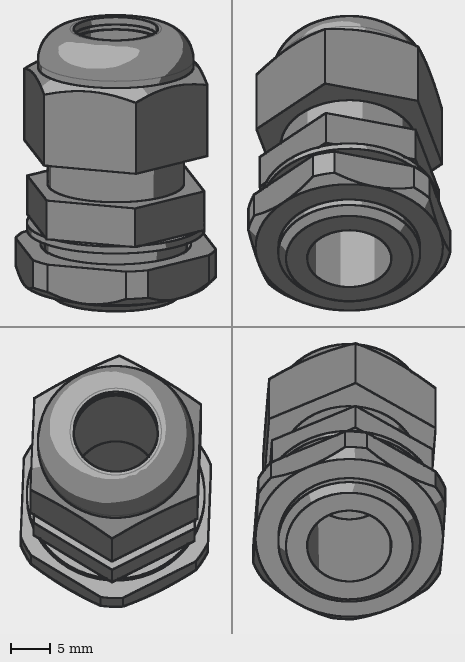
import cadquery as cq
import math

total_height = 35.37
thread_chamfer = 1.0
locknut_bottom = 1.95
locknut_top = 6.72
flange_bottom = 8.65
flange_top = 9.6
body_hex_top = 14.75
cap_bottom = 19.5
collar_bottom = 30.3

cap_flats = 21.4
body_flats = 20.65
locknut_flats = 24.0

bore_dia = 10.8
seal_dia = 13.75
neck_dia = 17.5
cap_bore_dia = 17.6
thread_dia = 18.2
collar_dia = 20.0
flange_dia = 22.8
locknut_corner_dia = 26.25
countersink_dia = 19.35

dome_radius = 4.15
cap_cone_angle = 30.0
lip_height = 1.0
seal_top = total_height - 1.65
relief_dia = 11.25


def cylinder(diameter, bottom, top):
    return cq.Workplane("XY").workplane(offset=bottom).circle(diameter / 2).extrude(top - bottom)


def hexagon(flats, bottom, top):
    """Hexagonal prism with two flats facing +X and -X."""
    corner_dia = flats / math.cos(math.radians(30))
    outline = cq.Workplane("XY").workplane(offset=bottom).polygon(6, corner_dia)
    return outline.extrude(top - bottom).rotate((0, 0, 0), (0, 0, 1), 30)


def revolve_profile(profile):
    """Turn a closed (radius, height) profile around the Z axis."""
    return profile.close().revolve(360, (0, 0, 0), (0, 1, 0))


def make_cap():
    collar_radius = collar_dia / 2
    corner_radius = cap_flats / math.sqrt(3)
    edge_radius = corner_radius + 0.35
    cone_drop = (edge_radius - collar_radius) * math.tan(math.radians(cap_cone_angle))
    envelope = revolve_profile(
        cq.Workplane("XZ")
        .moveTo(0, cap_bottom)
        .lineTo(edge_radius, cap_bottom)
        .lineTo(edge_radius, collar_bottom - cone_drop)
        .lineTo(collar_radius, collar_bottom)
        .lineTo(0, collar_bottom)
    )
    nut = hexagon(cap_flats, cap_bottom, collar_bottom).intersect(envelope)
    dome = cylinder(collar_dia, collar_bottom, total_height).faces(">Z").edges().fillet(dome_radius)
    return (
        nut.union(dome)
        .cut(cylinder(cap_bore_dia, cap_bottom, collar_bottom))
        .cut(cylinder(seal_dia, collar_bottom, seal_top))
        .cut(cylinder(relief_dia, seal_top, total_height - lip_height))
        .cut(cylinder(bore_dia, total_height - lip_height, total_height))
    )


def make_body():
    thread = cylinder(thread_dia, 0, flange_bottom).faces("<Z").edges().chamfer(thread_chamfer)
    flange = cylinder(flange_dia, flange_bottom, flange_top)
    neck = cylinder(neck_dia, body_hex_top, collar_bottom)
    return (
        thread.union(flange)
        .union(hexagon(body_flats, flange_top, body_hex_top))
        .union(neck)
        .cut(cylinder(bore_dia, 0, body_hex_top))
        .cut(cylinder(seal_dia, body_hex_top, collar_bottom))
    )


def make_seal():
    """Sleeve seated in the neck of the body and reaching up into the cap."""
    return cylinder(seal_dia, body_hex_top, seal_top).cut(cylinder(bore_dia, body_hex_top, seal_top))


def make_locknut():
    corner_radius = locknut_corner_dia / 2
    flat_radius = locknut_flats / 2
    chamfer_height = corner_radius - flat_radius
    envelope = cylinder(locknut_corner_dia, locknut_bottom, locknut_top)
    envelope = envelope.faces("<Z").edges().chamfer(chamfer_height)
    nut = hexagon(locknut_flats, locknut_bottom, locknut_top).intersect(envelope)
    countersink_depth = (countersink_dia - thread_dia) / 2
    countersink = revolve_profile(
        cq.Workplane("XZ")
        .moveTo(0, locknut_top - countersink_depth)
        .lineTo(thread_dia / 2, locknut_top - countersink_depth)
        .lineTo(countersink_dia / 2, locknut_top)
        .lineTo(0, locknut_top)
    )
    return nut.cut(cylinder(thread_dia, locknut_bottom, locknut_top)).cut(countersink)


cap = make_cap()
body = make_body()
seal = make_seal()
locknut = make_locknut()

result = cq.Compound.makeCompound([cap.val(), body.val(), seal.val(), locknut.val()])